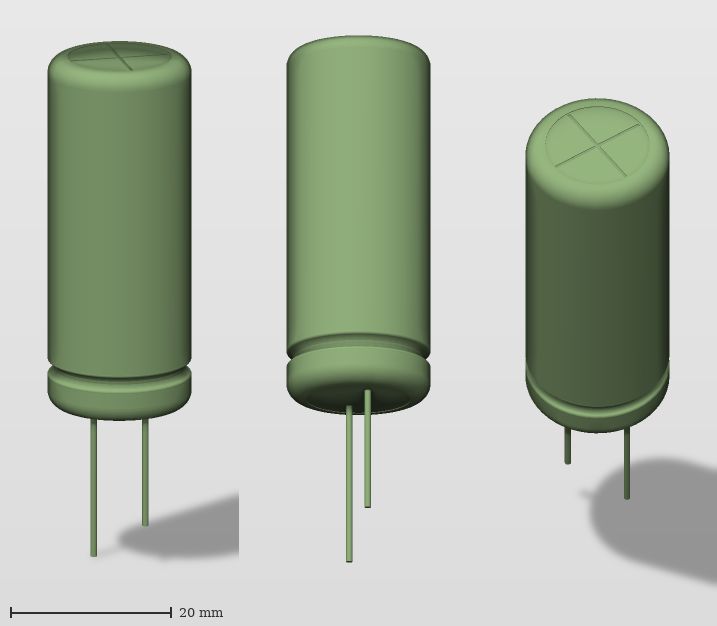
import cadquery as cq
import math

TOTAL_HEIGHT = 65.0
BODY_HEIGHT = 45.0
BODY_RADIUS = 9.0
RIM_RADIUS = 2.0

SLEEVE_WALL = 0.1
MOUTH_RADIUS = 6.5

GROOVE_HEIGHT = 5.15
GROOVE_FLOOR_RADIUS = 8.1
GROOVE_FLOOR_HALF = 0.2
GROOVE_CURVE_HALF = 0.8
GROOVE_LIP_HALF = 1.2
GROOVE_CURVE_RADIUS = 8.7
GROOVE_BULGE = 0.1

SCORE_LENGTH = 12.5
SCORE_WIDTH = 0.42
SCORE_DEPTH = 0.1
SCORE_ANGLES = (45, -45)

LEAD_DIAMETER = 0.8
LEAD_PITCH = 7.5
LONG_LEAD = TOTAL_HEIGHT - BODY_HEIGHT
SHORT_LEAD = 15.0


def bulge_point(start, end, bulge):
    """Point beside the middle of a chord, moved to the right of its direction by bulge."""
    along_r = end[0] - start[0]
    along_z = end[1] - start[1]
    chord = math.hypot(along_r, along_z)
    return (
        (start[0] + end[0]) / 2 + bulge * along_z / chord,
        (start[1] + end[1]) / 2 - bulge * along_r / chord,
    )


def capsule(inset):
    """Grooved, round-edged body, moved inwards by inset at the side and at both ends."""
    wall = BODY_RADIUS - inset
    bottom = inset
    top = BODY_HEIGHT - inset
    rim = RIM_RADIUS - inset
    rim_diagonal = rim * (1 - math.sqrt(0.5))

    def groove(radius, offset):
        """Profile point at an offset above or below the groove's mid-height."""
        return (radius - inset, GROOVE_HEIGHT + offset)

    lip_low = groove(BODY_RADIUS, -GROOVE_LIP_HALF)
    curve_low = groove(GROOVE_CURVE_RADIUS, -GROOVE_CURVE_HALF)
    floor_low = groove(GROOVE_FLOOR_RADIUS, -GROOVE_FLOOR_HALF)
    floor_high = groove(GROOVE_FLOOR_RADIUS, GROOVE_FLOOR_HALF)
    curve_high = groove(GROOVE_CURVE_RADIUS, GROOVE_CURVE_HALF)
    lip_high = groove(BODY_RADIUS, GROOVE_LIP_HALF)

    profile = (
        cq.Workplane("XZ")
        .moveTo(0, bottom)
        .lineTo(wall - rim, bottom)
        .threePointArc((wall - rim_diagonal, bottom + rim_diagonal), (wall, bottom + rim))
        .lineTo(*lip_low)
        .threePointArc(bulge_point(lip_low, curve_low, GROOVE_BULGE), curve_low)
        .threePointArc(bulge_point(curve_low, floor_low, -GROOVE_BULGE), floor_low)
        .lineTo(*floor_high)
        .threePointArc(bulge_point(floor_high, curve_high, -GROOVE_BULGE), curve_high)
        .threePointArc(bulge_point(curve_high, lip_high, GROOVE_BULGE), lip_high)
        .lineTo(wall, top - rim)
        .threePointArc((wall - rim_diagonal, top - rim_diagonal), (wall - rim, top))
        .lineTo(0, top)
        .close()
    )
    return profile.revolve(360, (0, 0, 0), (0, 1, 0))


def make_sleeve():
    """Thin sleeve around the can, open in the middle of both ends."""
    mouths = cq.Workplane("XY").circle(MOUTH_RADIUS).extrude(BODY_HEIGHT)
    return capsule(0).cut(capsule(SLEEVE_WALL)).cut(mouths)


def make_lead(x, length):
    """Lead from the can's underside to length below the underside of the sleeve."""
    return (
        cq.Workplane("XY", origin=(x, 0, -length))
        .circle(LEAD_DIAMETER / 2)
        .extrude(length + SLEEVE_WALL)
    )


def make_can():
    """Can with its vent cross and both leads, in one solid."""
    can = capsule(SLEEVE_WALL)
    can_top = BODY_HEIGHT - SLEEVE_WALL
    for angle in SCORE_ANGLES:
        score = (
            cq.Workplane("XY", origin=(0, 0, can_top - SCORE_DEPTH))
            .rect(SCORE_LENGTH, SCORE_WIDTH)
            .extrude(SCORE_DEPTH)
            .rotate((0, 0, 0), (0, 0, 1), angle)
        )
        can = can.cut(score)
    can = can.union(make_lead(-LEAD_PITCH / 2, LONG_LEAD))
    return can.union(make_lead(LEAD_PITCH / 2, SHORT_LEAD))


sleeve = make_sleeve()
can = make_can()

result = cq.Compound.makeCompound([sleeve.val(), can.val()])